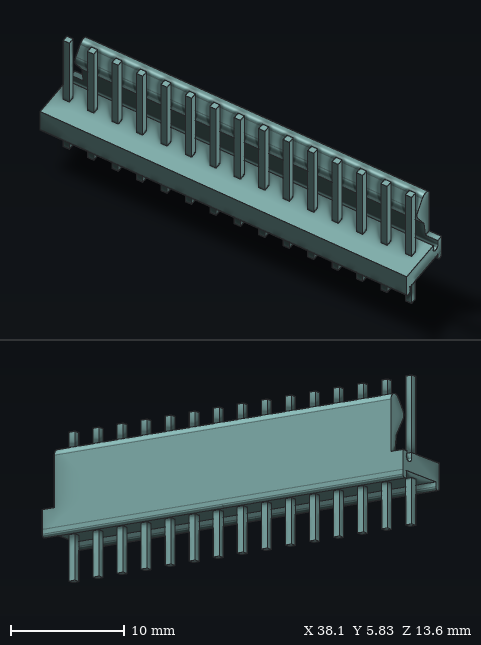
import cadquery as cq
import math


pin_count = 15
header_length = 38.1
pitch = header_length / pin_count
pin_row_length = (pin_count - 1) * pitch
pin_width = 0.65
pin_top = 7.55
pin_bottom = -6.05

back_y = 3.15
base_depth = 5.83
front_y = back_y - base_depth
base_thickness = 1.83

foot_width = 0.57
foot_radius = foot_width / 2
foot_bottom = -2.55

slot_depth = 0.9
slot_width = 0.8
wall_root_thickness = 0.57
wall_root_y = back_y - wall_root_thickness
slot_front_y = wall_root_y - slot_width

neck_z = 1.68
neck_thickness = 0.88
latch_top = 5.4
crown_radius = 0.65
tip_radius = 0.75
tip_reach = 2.05
tip_z = 3.75


def box(x_size, y_min, y_max, z_min, z_max, x_centre=0):
    """Axis-aligned block, centred along X on x_centre."""
    block = cq.Workplane("XY").box(x_size, y_max - y_min, z_max - z_min, centered=(True, False, False))
    return block.translate((x_centre, y_min, z_min))


def extrude_along_x(sketch, length):
    """Extrude a closed YZ outline by length, centred on X = 0."""
    return sketch.extrude(length / 2, both=True)


def point_on_circle(centre, radius, angle):
    return (centre[0] + radius * math.cos(angle), centre[1] + radius * math.sin(angle))


def tangent_angle(start, start_radius, end, end_radius):
    """Direction from both centres to the tangent line on the left of the path start -> end."""
    dy = end[0] - start[0]
    dz = end[1] - start[1]
    tilt = math.acos((start_radius - end_radius) / math.hypot(dy, dz))
    return math.atan2(dz, dy) + tilt


def make_base():
    return box(header_length, front_y, back_y, -base_thickness, 0)


def make_foot(y_min):
    foot = box(header_length, y_min, y_min + foot_width, foot_bottom + foot_radius, -base_thickness)
    round_end = (
        cq.Workplane("YZ")
        .center(y_min + foot_radius, foot_bottom + foot_radius)
        .circle(foot_radius)
    )
    return foot.union(extrude_along_x(round_end, header_length))


slot_round_z = -slot_depth + slot_width / 2
neck = (back_y - neck_thickness, neck_z)
wall_lean = (neck_thickness - wall_root_thickness) / (neck_z - slot_round_z)
wall_front_at_top = wall_root_y + wall_lean * slot_round_z


def make_slot():
    outline = (
        cq.Workplane("YZ")
        .moveTo(slot_front_y, 0)
        .lineTo(slot_front_y, slot_round_z)
        .threePointArc(
            (slot_front_y + slot_width / 2, -slot_depth),
            (wall_root_y, slot_round_z),
        )
        .lineTo(wall_front_at_top, 0)
        .close()
    )
    return extrude_along_x(outline, header_length)


def make_latch():
    crown_centre = (back_y - crown_radius, latch_top - crown_radius)
    tip_centre = (back_y - tip_reach + tip_radius, tip_z)

    lower_angle = tangent_angle(neck, 0, tip_centre, tip_radius)
    upper_angle = tangent_angle(tip_centre, tip_radius, crown_centre, crown_radius)

    outline = (
        cq.Workplane("YZ")
        .moveTo(back_y, 0)
        .lineTo(wall_front_at_top, 0)
        .lineTo(*neck)
        .lineTo(*point_on_circle(tip_centre, tip_radius, lower_angle))
        .threePointArc(
            (back_y - tip_reach, tip_z),
            point_on_circle(tip_centre, tip_radius, upper_angle),
        )
        .lineTo(*point_on_circle(crown_centre, crown_radius, upper_angle))
        .threePointArc(
            (crown_centre[0], latch_top),
            (back_y, crown_centre[1]),
        )
        .close()
    )
    return extrude_along_x(outline, pin_row_length)


def make_pin(x):
    return box(pin_width, -pin_width / 2, pin_width / 2, pin_bottom, pin_top, x)


header = make_base().cut(make_slot()).union(make_latch())
for foot_y in (front_y, back_y - foot_width):
    header = header.union(make_foot(foot_y))
for index in range(pin_count):
    header = header.union(make_pin(index * pitch - pin_row_length / 2))

result = header